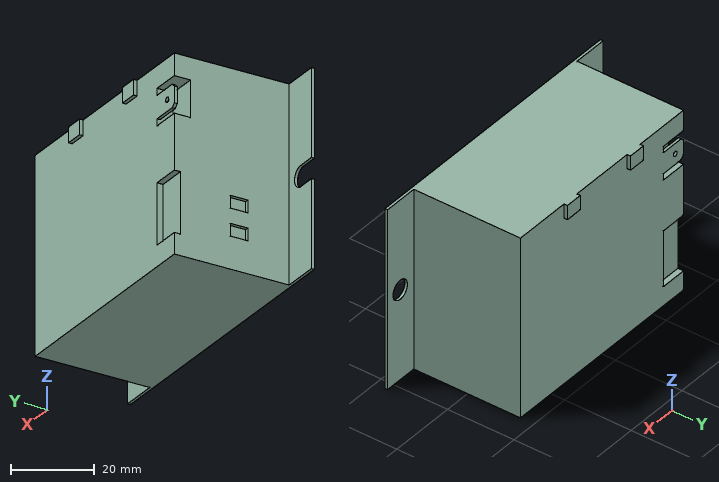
import cadquery as cq

plate_width = 85.0
height = 53.8
plate_thickness = 0.85
mount_offset = 37.5
mount_diameter = 5.6

body_width = 64.35
total_depth = 34.0
hook_depth = 1.0
back = total_depth - hook_depth
side = -body_width / 2
top = height / 2
bottom = -height / 2

hook_width = 5.1
hook_height = 4.25
hook_spacing = 24.9

recess_length = 8.0
recess_depth = 4.5
recess_height = 10.0
terminal_drop = 11.1
terminal_z = top - terminal_drop

blade_width = 6.3
blade_thickness = 0.85
blade_chamfer = 0.9
blade_hole_diameter = 1.4
blade_hole_setback = 3.3

notch_length = recess_length
notch_depth = 1.7
notch_height = 16.7
notch_rise = 5.8

window_depth = 1.0
window_front = 12.4
window_width = 4.85
window_height = 3.4
window_rise = 10.5
window_pitch = 7.5
window_count = 2


def block(x, y, z, width, depth, tall):
    """Box with its lowest corner at (x, y, z)."""
    return cq.Workplane("XY").box(width, depth, tall, centered=False).translate((x, y, z))


def rod_along_y(diameter, x, y, z, length):
    """Round rod running toward +Y from its start center."""
    rod = cq.Workplane("XZ").circle(diameter / 2).extrude(-length)
    return rod.translate((x, y, z))


def front_plate():
    left = -plate_width / 2
    plate = block(left, 0, bottom, plate_width, plate_thickness, height)
    for x in (-mount_offset, mount_offset):
        plate = plate.cut(rod_along_y(mount_diameter, x, 0, 0, plate_thickness))
    slot_length = -mount_offset - left
    slot = block(left, 0, -mount_diameter / 2, slot_length, plate_thickness, mount_diameter)
    return plate.cut(slot)


def housing():
    box = block(side, plate_thickness, bottom, body_width, back - plate_thickness, height)
    for center_x in (-hook_spacing / 2, hook_spacing / 2):
        hook_left = center_x - hook_width / 2
        hook = block(hook_left, back, top - hook_height, hook_width, hook_depth, hook_height)
        box = box.union(hook)
    return box


def terminal_recess():
    floor_z = terminal_z - recess_height / 2
    return block(side, back - recess_depth, floor_z, recess_length, recess_depth, recess_height)


def blade():
    front = back - blade_thickness
    lower_edge = terminal_z - blade_width / 2
    tab = block(side, front, lower_edge, recess_length, blade_thickness, blade_width)
    tab = tab.faces("<X").edges("|Y").chamfer(blade_chamfer)
    hole_x = side + blade_hole_setback
    hole = rod_along_y(blade_hole_diameter, hole_x, front, terminal_z, blade_thickness)
    return tab.cut(hole)


def lower_notch():
    front = back - notch_depth
    return block(side, front, bottom + notch_rise, notch_length, notch_depth, notch_height)


def connector_window(center_z):
    lower_edge = center_z - window_height / 2
    return block(side, window_front, lower_edge, window_depth, window_width, window_height)


result = front_plate().union(housing())
result = result.cut(terminal_recess())
result = result.cut(lower_notch())
for index in range(window_count):
    result = result.cut(connector_window(bottom + window_rise + index * window_pitch))
result = result.union(blade())